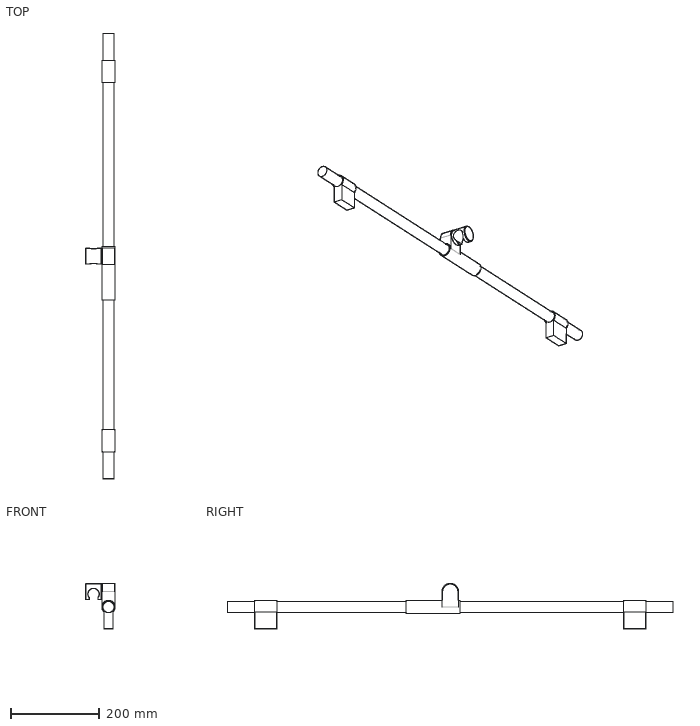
import cadquery as cq

rail_length = 1010.0
rail_diameter = 25.0
rail_radius = rail_diameter / 2

bracket_offset = 418.0
bracket_length = 50.0
collar_radius = 15.0
post_width = 21.0
wall_z = -49.0

sleeve_front_y = -100.0
sleeve_back_y = 22.0
sleeve_radius = 15.0
head_diameter = 37.0
head_radius = head_diameter / 2
holder_radius = 18.0
head_top_z = 54.0
head_axis_z = head_top_z - head_radius
head_left_x = -53.0
edge_chamfer = 1.5

hook_x = (head_left_x - sleeve_radius) / 2
hook_z = 29.0
hook_diameter = 25.0
hook_radius = hook_diameter / 2
hook_mouth = 19.0


def rod_along_y(radius, y_start, y_end):
    """Round rod on the rail axis between two Y positions."""
    return cq.Workplane("XZ", origin=(0, y_start, 0)).circle(radius).extrude(y_start - y_end)


def block(x_size, y_size, bottom_z, top_z):
    """Box centred in X and Y between two heights."""
    base = cq.Workplane("XY", origin=(0, 0, bottom_z))
    return base.rect(x_size, y_size).extrude(top_z - bottom_z)


def wall_bracket(center_y):
    """Collar around the rail with a flat post down to the wall."""
    half_length = bracket_length / 2
    collar = rod_along_y(collar_radius, center_y - half_length, center_y + half_length)
    post = block(post_width, bracket_length, wall_z, 0).translate((0, center_y, 0))
    return collar.union(post)


def drum(radius, x_start, x_end):
    """Cylinder on the crosswise head axis with its end edges chamfered."""
    body = cq.Workplane("YZ", origin=(x_start, 0, head_axis_z)).circle(radius).extrude(x_end - x_start)
    return body.faces("<X or >X").edges().chamfer(edge_chamfer)


def slider():
    """Sleeve on the rail carrying a neck, a pivot drum and an open hook holder."""
    sleeve = rod_along_y(sleeve_radius, sleeve_front_y, sleeve_back_y)
    neck = block(2 * sleeve_radius, 2 * head_radius, 0, head_axis_z)
    pivot = drum(head_radius, -sleeve_radius, sleeve_radius)
    holder = drum(holder_radius, head_left_x, -sleeve_radius)
    bore = rod_along_y(hook_radius, -head_radius, head_radius).translate((hook_x, 0, hook_z))
    mouth = block(hook_mouth, 2 * head_radius, 0, hook_z).translate((hook_x, 0, 0))
    return holder.cut(bore).cut(mouth).union(pivot).union(neck).union(sleeve)


result = rod_along_y(rail_radius, -rail_length / 2, rail_length / 2)
for bracket_y in (-bracket_offset, bracket_offset):
    result = result.union(wall_bracket(bracket_y))
result = result.union(slider())